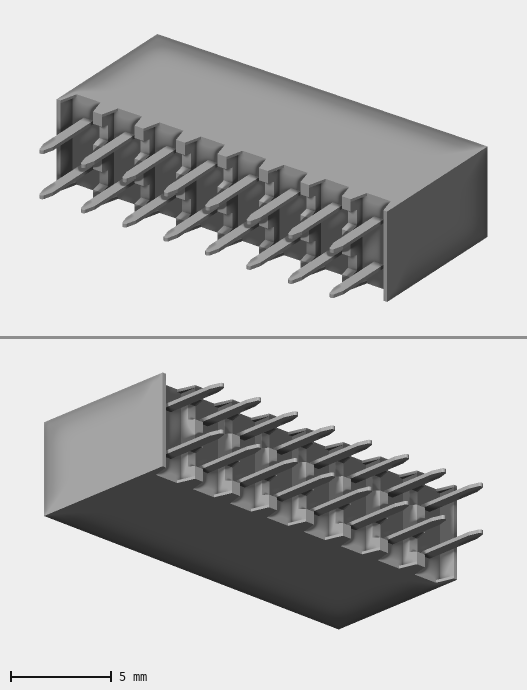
import cadquery as cq


pitch = 2.54
columns = 8
rows = 2
housing_width = 20.24
housing_depth = 8.5
housing_height = rows * pitch

bay_width = 2.0
bay_depth = 1.0
skin_thickness = 0.15
notch_floor_width = 1.46

window_depth = 0.52
window_mouth_height = 1.16
wall_slope = (bay_width - notch_floor_width) / 2 / bay_depth
window_floor_height = window_mouth_height - 2 * wall_slope * window_depth

pin_width = 0.58
pin_thickness = 0.2
pin_length = 3.06
pin_tip_length = 0.65
pin_nose_width = 0.3
pin_nose_length = pin_nose_width / 2
pin_root_length = 0.5

front_y = 0.0
bay_floor_y = front_y + bay_depth
bottom_z = -housing_height / 2


def centred_positions(count):
    """Positions of evenly pitched items centred on zero."""
    return [(i - (count - 1) / 2) * pitch for i in range(count)]


column_x = centred_positions(columns)
row_z = centred_positions(rows)


def make_housing():
    return cq.Workplane("XY").box(
        housing_width, housing_depth, housing_height, centered=(True, False, True)
    )


def make_bay(x):
    """Rectangular bay plus the tapered notch through the skins above and below it."""
    pocket = cq.Workplane("XY").box(
        bay_width, bay_depth, housing_height - 2 * skin_thickness, centered=(True, False, True)
    )
    notch = (
        cq.Workplane("XY", origin=(0, 0, bottom_z))
        .moveTo(-bay_width / 2, front_y)
        .lineTo(bay_width / 2, front_y)
        .lineTo(notch_floor_width / 2, bay_floor_y)
        .lineTo(-notch_floor_width / 2, bay_floor_y)
        .close()
        .extrude(housing_height)
    )
    return pocket.union(notch).translate((x, 0, 0))


def make_row_windows(z):
    """Tapered channel along X that opens every divider between the outer bays."""
    channel_length = column_x[-1] - column_x[0]
    window_floor_y = front_y + window_depth
    return (
        cq.Workplane("YZ", origin=(column_x[0], 0, z))
        .moveTo(front_y, -window_mouth_height / 2)
        .lineTo(window_floor_y, -window_floor_height / 2)
        .lineTo(window_floor_y, window_floor_height / 2)
        .lineTo(front_y, window_mouth_height / 2)
        .close()
        .extrude(channel_length)
    )


def make_pin(x, z):
    """Flat pin with a tapered tip and a half-round nose."""
    tip_y = front_y - pin_length
    nose_y = tip_y + pin_nose_length
    taper_y = tip_y + pin_tip_length
    root_y = bay_floor_y + pin_root_length
    return (
        cq.Workplane("XY", origin=(x, 0, z - pin_thickness / 2))
        .moveTo(-pin_width / 2, root_y)
        .lineTo(-pin_width / 2, taper_y)
        .lineTo(-pin_nose_width / 2, nose_y)
        .threePointArc((0, tip_y), (pin_nose_width / 2, nose_y))
        .lineTo(pin_width / 2, taper_y)
        .lineTo(pin_width / 2, root_y)
        .close()
        .extrude(pin_thickness)
    )


result = make_housing()
for x in column_x:
    result = result.cut(make_bay(x))
for z in row_z:
    result = result.cut(make_row_windows(z))
for x in column_x:
    for z in row_z:
        result = result.union(make_pin(x, z))